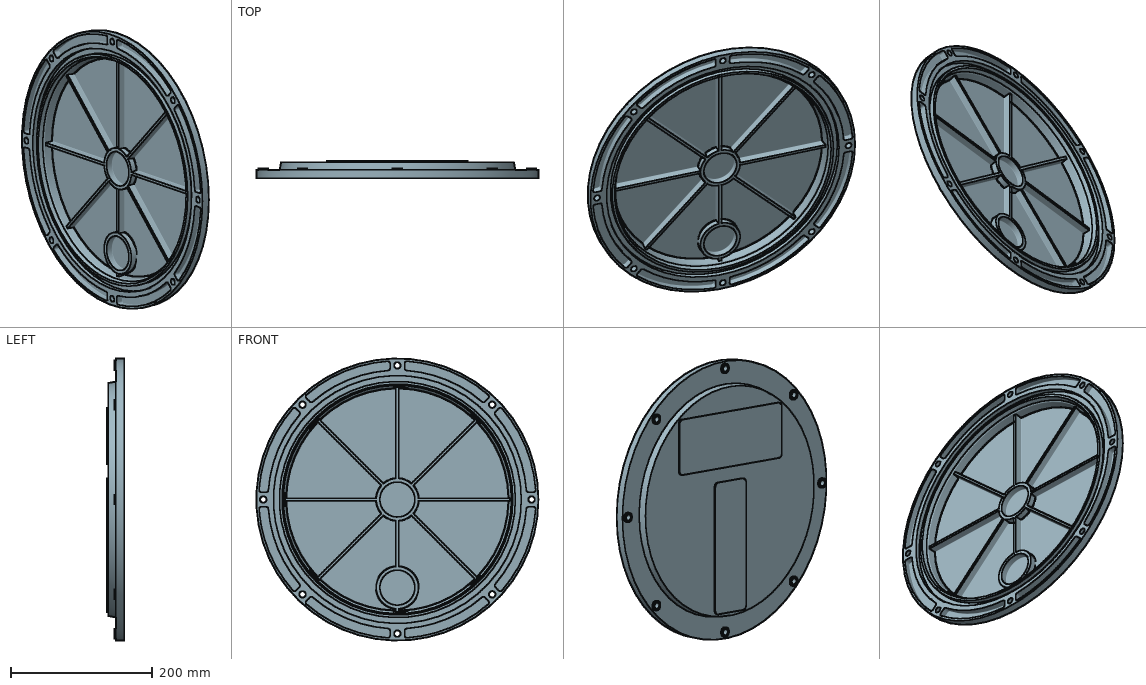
import cadquery as cq
import math


flange_radius = 200.0
flange_thickness = 12.0

dome_base_radius = 167.0
dome_top_radius = 165.0
dome_height = 11.0
dome_back = flange_thickness + dome_height

skin = 2.5
recess_depth = dome_back - skin
recess_mouth_radius = 163.5
ledge_outer_radius = 161.5
ledge_depth = 7.0
ledge_round = 2.5
ledge_inner_radius = ledge_outer_radius - ledge_round
recess_floor_radius = 157.5

groove_inner_radius = 167.0
groove_outer_radius = 175.5
groove_depth = 7.0

floor_fillet = 0.6

rib_count = 8
rib_height = 10.0
rib_base_width = 6.0
rib_top_width = 4.0
rib_top_depth = recess_depth - rib_height
ring_outer_radius = 30.0
ring_inner_radius = 25.0
lower_ring_z = -125.0

bolt_count = 8
bolt_circle_radius = 190.0
bolt_hole_diameter = 9.0
bolt_boss_diameter = 14.0
bolt_boss_height = 2.0

pocket_inner_radius = 183.0
pocket_outer_radius = 196.5
pocket_depth = 9.5
pocket_to_bolt_line = 10.5
pocket_corner_radius = 3.0

pad_height = 2.0
pad_corner_radius = 6.0
upper_pad_width = 200.0
upper_pad_bottom = 50.0
upper_pad_top = 130.0
lower_pad_width = 60.0
lower_pad_bottom = -160.0
lower_pad_top = 30.0


def plane_at(y):
    """Sketch plane at depth y with local x = X, local y = Z, extruding toward +Y."""
    return cq.Workplane(cq.Plane(origin=(0, y, 0), xDir=(1, 0, 0), normal=(0, -1, 0)))


def disc(radius, y_start, y_end, x=0, z=0):
    return plane_at(y_start).center(x, z).circle(radius).extrude(y_start - y_end)


def tube(outer_radius, inner_radius, y_start, y_end):
    profile = plane_at(y_start).circle(outer_radius).circle(inner_radius)
    return profile.extrude(y_start - y_end)


def around_axis(shape, angle):
    return shape.rotate((0, 0, 0), (0, 1, 0), angle)


def cover_body():
    outline = (
        cq.Workplane("XY")
        .lineTo(flange_radius, 0)
        .lineTo(flange_radius, flange_thickness)
        .lineTo(dome_base_radius, flange_thickness)
        .lineTo(dome_top_radius, dome_back)
        .lineTo(0, dome_back)
        .close()
    )
    return outline.revolve(360, (0, 0, 0), (0, 1, 0))


def main_recess():
    round_offset = ledge_round * (1 - math.sqrt(0.5))
    outline = (
        cq.Workplane("XY")
        .lineTo(recess_mouth_radius, 0)
        .lineTo(ledge_outer_radius, ledge_depth)
        .threePointArc(
            (ledge_inner_radius + round_offset, ledge_depth + round_offset),
            (ledge_inner_radius, ledge_depth + ledge_round),
        )
        .lineTo(recess_floor_radius, recess_depth)
        .lineTo(0, recess_depth)
        .close()
    )
    return outline.revolve(360, (0, 0, 0), (0, 1, 0))


def radial_rib(angle):
    """Tapered rib from the axis outward, reaching into the recess wall."""
    root_depth = recess_depth + skin / 2
    taper = (rib_base_width - rib_top_width) / 2 / rib_height
    root_half_width = rib_base_width / 2 + taper * skin / 2
    rib = (
        cq.Workplane("YZ")
        .polyline([
            (rib_top_depth, -rib_top_width / 2),
            (rib_top_depth, rib_top_width / 2),
            (root_depth, root_half_width),
            (root_depth, -root_half_width),
        ])
        .close()
        .extrude(ledge_outer_radius)
    )
    return around_axis(rib, angle)


def flange_pocket():
    """Pocket between the bolt at +X and the next one; its ends run parallel to the bolt lines."""
    sector_angle = 360 / bolt_count
    band = tube(pocket_outer_radius, pocket_inner_radius, 0, pocket_depth)
    half_angle = math.radians(sector_angle / 2)
    apex = pocket_to_bolt_line / math.sin(half_angle)
    reach = 2 * flange_radius
    sector = (
        plane_at(0)
        .moveTo(apex, 0)
        .lineTo(apex + reach * math.cos(half_angle), reach * math.sin(half_angle))
        .lineTo(apex + reach * math.cos(half_angle), -reach * math.sin(half_angle))
        .close()
        .extrude(-pocket_depth)
    )
    pocket = band.intersect(sector).edges("|Y").fillet(pocket_corner_radius)
    pocket = pocket.faces(">Y").edges().fillet(floor_fillet)
    return around_axis(pocket, sector_angle / 2)


def back_pad(width, bottom, top):
    return (
        plane_at(dome_back - skin / 2)
        .center(0, (bottom + top) / 2)
        .rect(width, top - bottom)
        .extrude(-(pad_height + skin / 2))
        .edges("|Y")
        .fillet(pad_corner_radius)
    )


result = cover_body().cut(main_recess())
result = result.cut(tube(groove_outer_radius, groove_inner_radius, 0, groove_depth))

for i in range(rib_count):
    result = result.union(radial_rib(i * 360 / rib_count))
for ring_z in (0, lower_ring_z):
    result = result.union(disc(ring_outer_radius, rib_top_depth, dome_back - skin / 2, z=ring_z))
    result = result.cut(disc(ring_inner_radius, 0, recess_depth, z=ring_z))

floor_tolerance = 0.05
floor_zone = cq.selectors.BoxSelector(
    (-flange_radius, recess_depth - floor_tolerance, -flange_radius),
    (flange_radius, recess_depth + floor_tolerance, flange_radius),
)
result = result.faces(floor_zone).edges().fillet(floor_fillet)

pocket = flange_pocket()
boss_back = flange_thickness + bolt_boss_height
bolt_boss = disc(bolt_boss_diameter / 2, flange_thickness / 2, boss_back, x=bolt_circle_radius)
bolt_hole = disc(bolt_hole_diameter / 2, 0, boss_back, x=bolt_circle_radius)
for i in range(bolt_count):
    angle = i * 360 / bolt_count
    result = result.cut(around_axis(pocket, angle))
    result = result.union(around_axis(bolt_boss, angle))
    result = result.cut(around_axis(bolt_hole, angle))

result = result.union(back_pad(upper_pad_width, upper_pad_bottom, upper_pad_top))
result = result.union(back_pad(lower_pad_width, lower_pad_bottom, lower_pad_top))